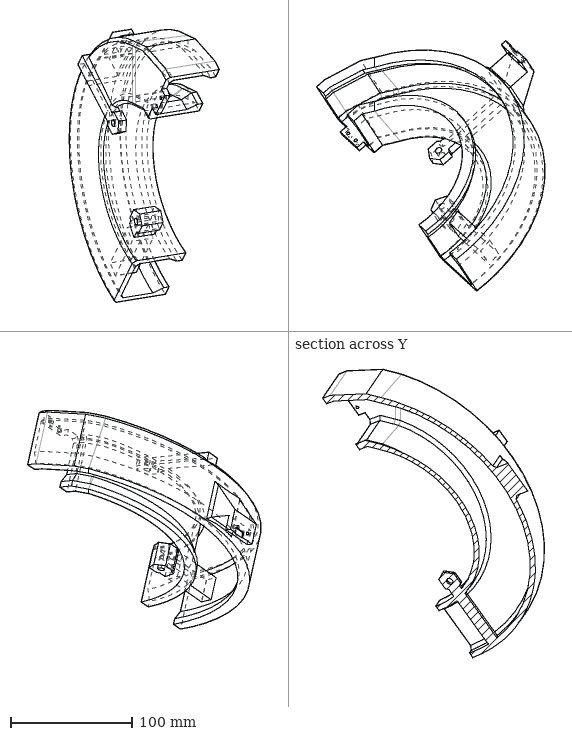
import cadquery as cq
import math


MEAN_RADIUS = 109.0
CHANNEL_WIDTH = 55.0
CHANNEL_DEPTH = 50.0
FRONT_CHAMFER = 3.0
WALL_THICKNESS = 5.0
LIP_WIDTH = 10.0
LIP_THICKNESS = 5.0
LIP_SLOPE_ANGLE = 60.0
LIP_SLOPE = (LIP_WIDTH - WALL_THICKNESS) * math.tan(math.radians(LIP_SLOPE_ANGLE))
HALF_WIDTH = CHANNEL_WIDTH / 2
HALF_DEPTH = CHANNEL_DEPTH / 2
OUTER_RADIUS = MEAN_RADIUS + HALF_WIDTH
INNER_RADIUS = MEAN_RADIUS - HALF_WIDTH

START_ANGLE = 90.0
SWEEP_ANGLE = 143.0
LIFT = 26.55
END_ANGLE = START_ANGLE + SWEEP_ANGLE
HELIX_PITCH = LIFT * 360 / SWEEP_ANGLE
HELIX_SLOPE = math.atan(LIFT / (math.radians(SWEEP_ANGLE) * MEAN_RADIUS))
TRANSITION_MARGIN = 0.3
TRANSITION_LENGTH = HALF_DEPTH * math.sin(HELIX_SLOPE) + TRANSITION_MARGIN
OVERRUN_TURN = 1.06
END_EXTENSION = 2.3

OUTLET_ANGLE = END_ANGLE - 270
OUTLET_FACE = -29.2
OUTLET_MIDDLE = 100.8
OUTLET_STUB = 9.0
OUTLET_TOP_END = 14.7
TOLERANCE = 1e-3
TAB_LENGTH = 7.0
TAB_WIDTH = 25.0
TAB_HOLE_SETBACK = 3.5
TAB_HOLE_SPACING = 11.0
SCREW_HOLE = 2.5

BRACKET_ANGLE = 143.0
BRACKET_END_RADIUS = 161.6
BRACKET_WIDTH = 30.0
BRACKET_OFFSET = 1.0
PLATE_THICKNESS = 5.0
PLATE_FRONT = 50.0
PLATE_BACK = 68.0
GUSSET_FRONT = 22.9
GUSSET_BACK = 55.0
BRACKET_ROOT_RADIUS = OUTER_RADIUS - 1.5
FLARE_TIP_RADIUS = OUTER_RADIUS + 1.5
BRACKET_HOLE_SPACING = 13.2
BRACKET_HOLE_Y = 62.0
NOTCH_WIDTH = 10.4
NOTCH_DEPTH = 1.0
NOTCH_HEIGHT = 4.6
NOTCH_OFFSET = -3.2

ARM_WIDTH = 12.0
HEX_DISTANCE = 65.5
HEX_DIAMETER = 20.0
MOUNT_HOLE = 5.5
UPPER_ARM_ANGLE = BRACKET_ANGLE
UPPER_ARM_OFFSET = -23.0
UPPER_ARM_FRONT = 2.4
UPPER_ARM_BACK = 10.0
UPPER_ARM_END = 133.2
LOWER_ARM_ANGLE = END_ANGLE
LOWER_ARM_OFFSET = -25.5
LOWER_ARM_FRONT = 36.8
LOWER_ARM_BACK = 56.8
LOWER_ARM_END = 130.0


def plan_plane(angle, y):
    """Plane facing the front at depth y, with its x axis along the given direction."""
    radians = math.radians(angle)
    return cq.Plane(
        origin=(0, y, 0),
        xDir=(math.cos(radians), 0, math.sin(radians)),
        normal=(0, -1, 0),
    )


def station_plane(angle, slope, advance):
    """Plane across the path: x points outwards, y towards the back, shifted along the path."""
    radians = math.radians(angle)
    outward = cq.Vector(math.cos(radians), 0, math.sin(radians))
    along = cq.Vector(-math.sin(radians), 0, math.cos(radians))
    lift = LIFT * (angle - START_ANGLE) / SWEEP_ANGLE
    origin = outward * MEAN_RADIUS + cq.Vector(0, HALF_DEPTH + lift, 0) + along * advance
    normal = along * math.cos(slope) + cq.Vector(0, math.sin(slope), 0)
    return cq.Plane(origin=origin.toTuple(), xDir=outward.toTuple(), normal=normal.toTuple())


def channel_profile(plane):
    """Closed thin-walled section, open at the back between two lips with sloped undersides."""
    right_half = [
        (HALF_WIDTH - FRONT_CHAMFER, -HALF_DEPTH),
        (HALF_WIDTH, FRONT_CHAMFER - HALF_DEPTH),
        (HALF_WIDTH, HALF_DEPTH),
        (HALF_WIDTH - LIP_WIDTH, HALF_DEPTH),
        (HALF_WIDTH - LIP_WIDTH, HALF_DEPTH - LIP_THICKNESS),
        (HALF_WIDTH - WALL_THICKNESS, HALF_DEPTH - LIP_THICKNESS - LIP_SLOPE),
        (HALF_WIDTH - WALL_THICKNESS, WALL_THICKNESS + FRONT_CHAMFER - HALF_DEPTH),
        (HALF_WIDTH - WALL_THICKNESS - FRONT_CHAMFER, WALL_THICKNESS - HALF_DEPTH),
    ]
    left_half = [(-x, y) for x, y in reversed(right_half)]
    return cq.Workplane(plane).polyline(right_half + left_half).close()


def transition():
    """Short wedge between the first section of the helix and one square to the outlet."""
    tilted = channel_profile(station_plane(START_ANGLE, HELIX_SLOPE, 0)).val()
    upright = channel_profile(station_plane(START_ANGLE, 0, -TRANSITION_LENGTH)).val()
    return cq.Workplane(cq.Solid.makeLoft([tilted, upright], True))


def helical_channel():
    """Channel swept past its end and trimmed square to its plan."""
    axis = cq.Plane(origin=(0, HALF_DEPTH, 0), xDir=(0, 0, 1), normal=(0, 1, 0))
    swept_lift = OVERRUN_TURN * LIFT
    helix = cq.Wire.makeHelix(HELIX_PITCH, swept_lift, MEAN_RADIUS, lefthand=True)
    path = cq.Workplane(helix.moved(cq.Location(axis)))
    channel = channel_profile(station_plane(START_ANGLE, HELIX_SLOPE, 0)).sweep(path, isFrenet=True)
    trim_side = 2 * CHANNEL_WIDTH
    trim = (
        cq.Workplane(station_plane(END_ANGLE, 0, END_EXTENSION))
        .rect(trim_side, trim_side)
        .extrude(CHANNEL_DEPTH)
    )
    return channel.cut(trim)


def outlet_plan_point(along, across):
    """Plan position given along and across the outlet direction."""
    radians = math.radians(OUTLET_ANGLE)
    x = along * math.cos(radians) - across * math.sin(radians)
    z = along * math.sin(radians) + across * math.cos(radians)
    return (x, z)


def outlet_outline(y, overrun=0.0):
    """Plan outline of the outlet at depth y, lengthened by overrun at both open ends."""
    radians = math.radians(OUTLET_ANGLE)
    start = TRANSITION_LENGTH - overrun
    end = OUTLET_FACE + overrun
    top = OUTLET_MIDDLE + HALF_WIDTH
    bottom = OUTLET_MIDDLE - HALF_WIDTH
    inner_bend = (INNER_RADIUS * math.cos(radians) - bottom) / math.sin(radians)
    outline = [
        (start, OUTER_RADIUS),
        (OUTLET_TOP_END, OUTER_RADIUS),
        outlet_plan_point(OUTLET_FACE - OUTLET_STUB, top),
        outlet_plan_point(end, top),
        outlet_plan_point(end, bottom),
        (inner_bend, INNER_RADIUS),
        (start, INNER_RADIUS),
    ]
    return cq.Workplane(plan_plane(0, y)).polyline(outline).close()


def outlet_cavity():
    """Cavity that narrows to the back opening, passing through both ends of the outlet."""
    overrun = 2 * LIP_WIDTH
    lip_front = CHANNEL_DEPTH - LIP_THICKNESS
    slope_front = lip_front - LIP_SLOPE
    opening = outlet_outline(CHANNEL_DEPTH, overrun).offset2D(-LIP_WIDTH, "intersection")
    opening = opening.extrude(LIP_THICKNESS)
    narrow = outlet_outline(lip_front, overrun).offset2D(-LIP_WIDTH, "intersection").val()
    wide = outlet_outline(slope_front, overrun).offset2D(-WALL_THICKNESS, "intersection").val()
    slope = cq.Workplane(cq.Solid.makeLoft([wide, narrow], True))
    body = outlet_outline(slope_front, overrun).offset2D(-WALL_THICKNESS, "intersection")
    body = body.extrude(slope_front - WALL_THICKNESS).faces("<Y").chamfer(FRONT_CHAMFER)
    return body.union(slope).union(opening)


def outlet():
    """Straight end that turns from +X to the outlet direction, with a screw tab."""
    body = outlet_outline(CHANNEL_DEPTH).extrude(CHANNEL_DEPTH)
    face_x = outlet_plan_point(OUTLET_FACE, OUTLET_MIDDLE)[0]
    side_edges = [
        edge
        for edge in body.faces("<Y").edges().vals()
        if min(abs(edge.Center().x - end_x) for end_x in (TRANSITION_LENGTH, face_x)) > TOLERANCE
    ]
    body = body.newObject(side_edges).chamfer(FRONT_CHAMFER).cut(outlet_cavity())

    tab_plane = plan_plane(OUTLET_ANGLE, WALL_THICKNESS)
    tab = (
        cq.Workplane(tab_plane)
        .center(OUTLET_FACE, OUTLET_MIDDLE)
        .rect(2 * TAB_LENGTH, TAB_WIDTH)
        .extrude(WALL_THICKNESS)
    )
    holes = (
        cq.Workplane(tab_plane)
        .center(OUTLET_FACE + TAB_LENGTH - TAB_HOLE_SETBACK, OUTLET_MIDDLE)
        .rarray(1, TAB_HOLE_SPACING, 1, 2)
        .circle(SCREW_HOLE / 2)
        .extrude(WALL_THICKNESS)
    )
    return body.union(tab).cut(holes)


def mounting_arm(angle, offset, front, back, end):
    """Flat arm along the given direction, with a drilled hexagon at its inner end."""
    plane = plan_plane(angle, back)
    thickness = back - front
    arm_length = end - HEX_DISTANCE
    arm = (
        cq.Workplane(plane)
        .center(HEX_DISTANCE + arm_length / 2, offset)
        .rect(arm_length, ARM_WIDTH)
        .extrude(thickness)
    )
    hexagon = cq.Workplane(plane).center(HEX_DISTANCE, offset).polygon(6, HEX_DIAMETER).extrude(thickness)
    hole = cq.Workplane(plane).center(HEX_DISTANCE, offset).circle(MOUNT_HOLE / 2).extrude(thickness)
    return arm.union(hexagon).cut(hole)


def wall_bracket():
    """Screw plate carried by a sloped gusset that flares where it meets the outer wall."""
    plane = plan_plane(BRACKET_ANGLE, 0)
    middle = plane.toWorldCoords((0, BRACKET_OFFSET, 0))
    half_width = BRACKET_WIDTH / 2
    side = cq.Plane(
        origin=(middle - plane.yDir * half_width).toTuple(),
        xDir=plane.xDir.toTuple(),
        normal=plane.yDir.toTuple(),
    )
    plate_root = BRACKET_END_RADIUS - PLATE_THICKNESS
    side_outline = [
        (BRACKET_END_RADIUS, PLATE_BACK),
        (BRACKET_END_RADIUS, PLATE_FRONT),
        (BRACKET_ROOT_RADIUS, GUSSET_FRONT),
        (BRACKET_ROOT_RADIUS, GUSSET_BACK),
        (plate_root, GUSSET_BACK),
        (plate_root, PLATE_BACK),
    ]
    bracket = cq.Workplane(side).polyline(side_outline).close().extrude(BRACKET_WIDTH)

    flare_depth = FLARE_TIP_RADIUS - BRACKET_ROOT_RADIUS
    flare_height = GUSSET_BACK - GUSSET_FRONT
    flare_rise = flare_depth * (PLATE_FRONT - GUSSET_FRONT) / (BRACKET_END_RADIUS - BRACKET_ROOT_RADIUS)
    flare_plane = cq.Plane(
        origin=(middle + plane.xDir * BRACKET_ROOT_RADIUS + cq.Vector(0, GUSSET_FRONT, 0)).toTuple(),
        xDir=(-plane.yDir).toTuple(),
        normal=plane.xDir.toTuple(),
    )
    wide = [
        (-half_width - flare_depth, 0),
        (half_width + flare_depth, 0),
        (half_width + flare_depth, flare_height + flare_depth),
        (-half_width - flare_depth, flare_height + flare_depth),
    ]
    narrow = [
        (-half_width, flare_rise),
        (half_width, flare_rise),
        (half_width, flare_height),
        (-half_width, flare_height),
    ]
    flare = (
        cq.Workplane(flare_plane)
        .polyline(wide)
        .close()
        .workplane(offset=flare_depth)
        .polyline(narrow)
        .close()
        .loft(ruled=True)
    )

    end_plane = cq.Plane(
        origin=(middle + plane.xDir * BRACKET_END_RADIUS).toTuple(),
        xDir=(0, 1, 0),
        normal=plane.xDir.toTuple(),
    )
    holes = (
        cq.Workplane(end_plane)
        .center(BRACKET_HOLE_Y, 0)
        .rarray(1, BRACKET_HOLE_SPACING, 1, 2)
        .circle(SCREW_HOLE / 2)
        .extrude(-PLATE_THICKNESS)
    )
    notch = (
        cq.Workplane(end_plane)
        .center(PLATE_BACK, NOTCH_OFFSET)
        .rect(2 * NOTCH_HEIGHT, NOTCH_WIDTH)
        .extrude(-NOTCH_DEPTH)
    )
    return bracket.union(flare).cut(holes).cut(notch)


upper_arm = mounting_arm(
    UPPER_ARM_ANGLE, UPPER_ARM_OFFSET, UPPER_ARM_FRONT, UPPER_ARM_BACK, UPPER_ARM_END
)
lower_arm = mounting_arm(
    LOWER_ARM_ANGLE, LOWER_ARM_OFFSET, LOWER_ARM_FRONT, LOWER_ARM_BACK, LOWER_ARM_END
)
result = (
    helical_channel()
    .union(transition())
    .union(outlet())
    .union(upper_arm)
    .union(lower_arm)
    .union(wall_bracket())
)